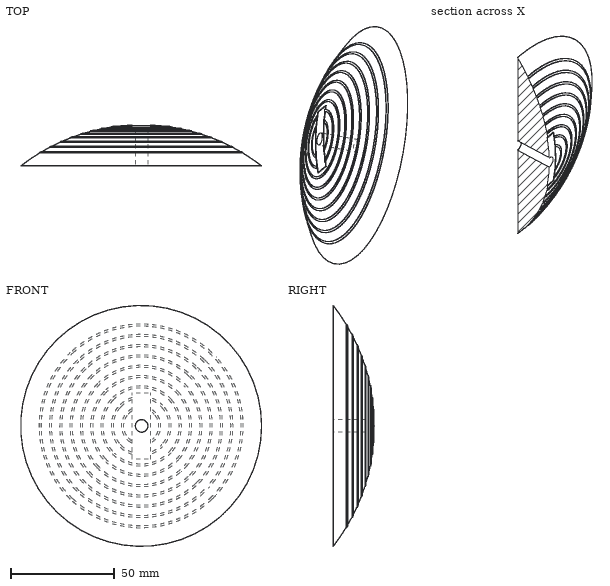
import cadquery as cq
import math

disc_radius = 58.5
dome_height = 20.0

bore_radius = 3.0
bore_x = 0.25

rib_count = 9
rib_pitch = 5.0
rib_width = 1.0
first_rib_inner_radius = 8.5
first_rib_height = 0.1
rib_height = 0.26
rib_root_depth = 1.0

slot_width = 9.0
slot_length = 32.0
slot_depth = 0.4
slot_clearance = 1.0

sphere_radius = (disc_radius**2 + dome_height**2) / (2 * dome_height)
sphere_center_y = dome_height - sphere_radius


def dome_y(radius):
    """Height of the dome above the flat face at a distance from the axis."""
    return sphere_center_y + math.sqrt(sphere_radius**2 - radius**2)


def revolve_about_y(profile):
    """Close a profile drawn in the XY plane and turn it fully about the Y axis."""
    return profile.close().revolve(360, (0, 0, 0), (0, 1, 0))


def make_dome():
    """Solid spherical cap on a flat base."""
    mid_radius = disc_radius / 2
    profile = (
        cq.Workplane("XY")
        .lineTo(disc_radius, 0)
        .threePointArc((mid_radius, dome_y(mid_radius)), (0, dome_height))
    )
    return revolve_about_y(profile)


def make_rib(inner_radius, height):
    """Ring whose crest follows the dome surface at a constant height above it."""
    outer_radius = inner_radius + rib_width
    mid_radius = inner_radius + rib_width / 2
    root_y = dome_y(outer_radius) - rib_root_depth
    profile = (
        cq.Workplane("XY")
        .moveTo(inner_radius, root_y)
        .lineTo(outer_radius, root_y)
        .lineTo(outer_radius, dome_y(outer_radius) + height)
        .threePointArc(
            (mid_radius, dome_y(mid_radius) + height),
            (inner_radius, dome_y(inner_radius) + height),
        )
    )
    return revolve_about_y(profile)


def make_slot():
    """Cutter for the crown slot, with an arched floor below the dome."""
    half_length = slot_length / 2
    end_y = dome_y(half_length) - slot_depth
    top_y = dome_height + slot_clearance
    return (
        cq.Workplane("YZ")
        .moveTo(end_y, -half_length)
        .threePointArc((dome_height - slot_depth, 0), (end_y, half_length))
        .lineTo(top_y, half_length)
        .lineTo(top_y, -half_length)
        .close()
        .extrude(slot_width / 2, both=True)
    )


def make_bore():
    """Cutter for the through bore, from the flat face through the crown."""
    return cq.Workplane("XZ").center(bore_x, 0).circle(bore_radius).extrude(-dome_height)


result = make_dome()
for index in range(rib_count):
    height = first_rib_height if index == 0 else rib_height
    result = result.union(make_rib(first_rib_inner_radius + index * rib_pitch, height))
result = result.cut(make_slot()).cut(make_bore())